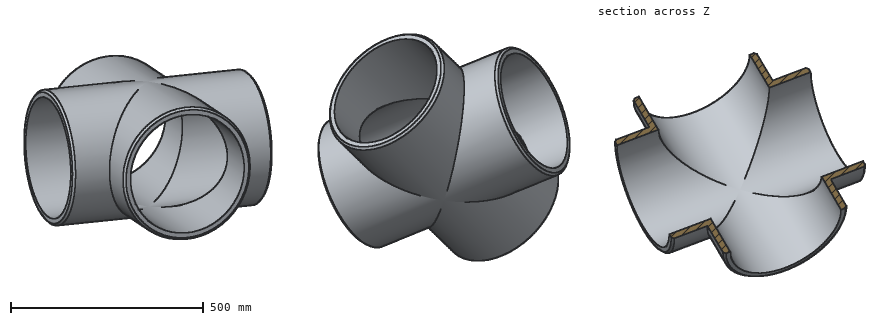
import cadquery as cq

length = 558.0
outer_diameter = 356.0
bore_diameter = 318.0
end_chamfer = 6.0


def through_cylinder(plane, diameter):
    """Cylinder of full length, centred on the origin and normal to the plane."""
    return cq.Workplane(plane).circle(diameter / 2).extrude(length / 2, both=True)


def pipe_body(plane):
    """Solid pipe body with both end rims chamfered."""
    return through_cylinder(plane, outer_diameter).edges("%CIRCLE").chamfer(end_chamfer)


pipe_planes = ("YZ", "XZ")

result = cq.Workplane("XY")
for pipe_plane in pipe_planes:
    result = result.union(pipe_body(pipe_plane))
for pipe_plane in pipe_planes:
    result = result.cut(through_cylinder(pipe_plane, bore_diameter))